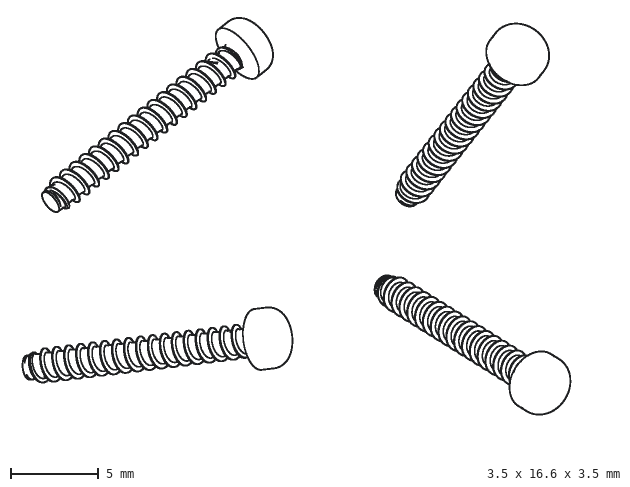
import cadquery as cq
import math


OVERALL_LENGTH = 16.6

HEAD_RADIUS = 1.75
HEAD_HEIGHT = 1.6
HEAD_ROUND_RADIUS = 0.8

NECK_RADIUS = 0.77
NECK_FILLET_RADIUS = 0.34
NECK_COLLAR_LENGTH = 0.14

CORE_RADIUS = 0.695
TIP_CONE_HEIGHT = 0.02

PITCH = 0.78
CREST_RADIUS = 0.985
CREST_WIDTH = 0.06
RIDGE_FOOT_RADIUS = 0.73
RIDGE_FOOT_WIDTH = 0.22
HEAD_SIDE_REACH = 0.25
TIP_SIDE_REACH = 0.45
SLOPE_END_DEPTH = 0.004
SECTION_DEPTH = 0.1
THREAD_PHASE_STATION = 2.75
RUN_IN_LENGTH = 0.65
RUN_IN_RADIUS = 0.81
RUN_OUT_LENGTH = 0.9

ENVELOPE_CLEARANCE = 0.1

MIDDLE = OVERALL_LENGTH / 2
CORE_START = HEAD_HEIGHT + NECK_FILLET_RADIUS + NECK_COLLAR_LENGTH
TIP_EDGE = OVERALL_LENGTH - TIP_CONE_HEIGHT
THREAD_START = CORE_START - NECK_COLLAR_LENGTH / 2


def point(radius, station):
    """A point of a half section, in the YZ plane on the +Z side of the axis."""
    return (MIDDLE - station, radius)


def revolve_about_axis(half_section):
    return half_section.close().revolve(360, (0, 0, 0), (1, 0, 0))


def make_body():
    """Head, neck and core as one solid of revolution."""
    diagonal = math.sqrt(0.5)
    round_centre = HEAD_RADIUS - HEAD_ROUND_RADIUS
    round_middle = point(
        round_centre + HEAD_ROUND_RADIUS * diagonal,
        HEAD_ROUND_RADIUS * (1 - diagonal),
    )
    fillet_end = HEAD_HEIGHT + NECK_FILLET_RADIUS
    fillet_centre = NECK_RADIUS + NECK_FILLET_RADIUS
    fillet_middle = point(
        fillet_centre - NECK_FILLET_RADIUS * diagonal,
        fillet_end - NECK_FILLET_RADIUS * diagonal,
    )
    return revolve_about_axis(
        cq.Workplane("YZ")
        .moveTo(*point(0, 0))
        .lineTo(*point(round_centre, 0))
        .threePointArc(round_middle, point(HEAD_RADIUS, HEAD_ROUND_RADIUS))
        .lineTo(*point(HEAD_RADIUS, HEAD_HEIGHT))
        .lineTo(*point(fillet_centre, HEAD_HEIGHT))
        .threePointArc(fillet_middle, point(NECK_RADIUS, fillet_end))
        .lineTo(*point(NECK_RADIUS, CORE_START))
        .lineTo(*point(CORE_RADIUS, CORE_START))
        .lineTo(*point(CORE_RADIUS, TIP_EDGE))
        .lineTo(*point(0, OVERALL_LENGTH))
    )


def make_thread_coil():
    """Full-height right-handed thread, over-long at both ends."""
    first_station = THREAD_PHASE_STATION - 2 * PITCH
    turns = math.ceil((OVERALL_LENGTH - first_station) / PITCH) + 1
    path = cq.Workplane(cq.Wire.makeHelix(PITCH, turns * PITCH, CORE_RADIUS))
    inner_radius = CORE_RADIUS - SECTION_DEPTH
    slope_end_radius = CORE_RADIUS - SLOPE_END_DEPTH
    coil = (
        cq.Workplane("XZ")
        .polyline(
            [
                (inner_radius, -HEAD_SIDE_REACH),
                (slope_end_radius, -HEAD_SIDE_REACH),
                (RIDGE_FOOT_RADIUS, -RIDGE_FOOT_WIDTH / 2),
                (CREST_RADIUS, -CREST_WIDTH / 2),
                (CREST_RADIUS, CREST_WIDTH / 2),
                (RIDGE_FOOT_RADIUS, RIDGE_FOOT_WIDTH / 2),
                (slope_end_radius, TIP_SIDE_REACH),
                (inner_radius, TIP_SIDE_REACH),
            ]
        )
        .close()
        .sweep(path, isFrenet=True)
    )
    return coil.rotate((0, 0, 0), (1, 0, 0), 90).translate((0, MIDDLE - first_station, 0))


def make_thread_envelope():
    """Space the thread may fill: a cylinder with a cone at each end for the run-in and run-out."""
    outer_radius = CREST_RADIUS + ENVELOPE_CLEARANCE
    end_radius = CORE_RADIUS - SECTION_DEPTH / 2
    run_in_slope = RUN_IN_LENGTH / (CREST_RADIUS - RUN_IN_RADIUS)
    run_out_slope = RUN_OUT_LENGTH / (CREST_RADIUS - end_radius)
    run_in_end = THREAD_START + run_in_slope * (outer_radius - RUN_IN_RADIUS)
    run_out_start = TIP_EDGE - run_out_slope * (outer_radius - end_radius)
    return revolve_about_axis(
        cq.Workplane("YZ")
        .moveTo(*point(0, THREAD_START))
        .lineTo(*point(RUN_IN_RADIUS, THREAD_START))
        .lineTo(*point(outer_radius, run_in_end))
        .lineTo(*point(outer_radius, run_out_start))
        .lineTo(*point(end_radius, TIP_EDGE))
        .lineTo(*point(0, TIP_EDGE))
    )


thread = make_thread_coil().intersect(make_thread_envelope())
result = make_body().union(thread)